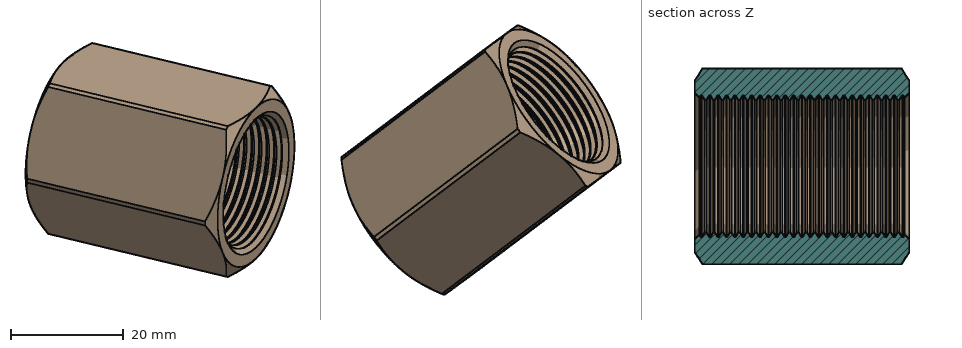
import cadquery as cq
import math

length = 38.1
across_flats = 30.5
across_corners = 34.75
corner_chamfer_length = 1.4

minor_diameter = 23.48
mouth_diameter = 26.0
mouth_half_angle = 45.0
thread_pitch = 1.5
thread_half_angle = 30.0
crest_width = 0.35
root_width = 0.15


def revolve_about_x(profile):
    """Turn an (x, radius) outline into a solid of revolution about the X axis."""
    outline = cq.Workplane("XY").polyline(profile).close()
    return outline.revolve(360, (0, 0, 0), (1, 0, 0))


def hexagon_prism():
    """Hexagonal bar with flats at top and bottom and corners along Y."""
    sharp_corners = across_flats / math.cos(math.radians(30))
    bar = cq.Workplane("YZ").polygon(6, sharp_corners)
    return bar.extrude(length / 2, both=True)


def turned_envelope():
    """Round blank that truncates the corners and chamfers both ends."""
    end = length / 2
    shoulder = end - corner_chamfer_length
    face_radius = across_flats / 2
    corner_radius = across_corners / 2
    return revolve_about_x([
        (-end, 0),
        (-end, face_radius),
        (-shoulder, corner_radius),
        (shoulder, corner_radius),
        (end, face_radius),
        (end, 0),
    ])


def threaded_bore():
    """Through bore with evenly spaced ring-shaped thread grooves."""
    end = length / 2
    minor_radius = minor_diameter / 2
    groove_half_width = (thread_pitch - crest_width) / 2
    root_half_width = root_width / 2
    flank_width = groove_half_width - root_half_width
    major_radius = minor_radius + flank_width / math.tan(math.radians(thread_half_angle))
    groove_count = math.floor(length / thread_pitch)

    profile = [(-end, 0), (-end, minor_radius)]
    for index in range(groove_count):
        centre = (index - (groove_count - 1) / 2) * thread_pitch
        profile += [
            (centre - groove_half_width, minor_radius),
            (centre - root_half_width, major_radius),
            (centre + root_half_width, major_radius),
            (centre + groove_half_width, minor_radius),
        ]
    profile += [(end, minor_radius), (end, 0)]
    return revolve_about_x(profile)


def conical_mouth(side):
    """Countersink at one end of the bore; side is -1 or 1 along X."""
    end = side * length / 2
    mouth_radius = mouth_diameter / 2
    minor_radius = minor_diameter / 2
    depth = (mouth_radius - minor_radius) / math.tan(math.radians(mouth_half_angle))
    inner_end = end - side * depth
    return revolve_about_x([
        (end, 0),
        (end, mouth_radius),
        (inner_end, minor_radius),
        (inner_end, 0),
    ])


result = hexagon_prism().intersect(turned_envelope()).cut(threaded_bore())
for side in (-1, 1):
    result = result.cut(conical_mouth(side))